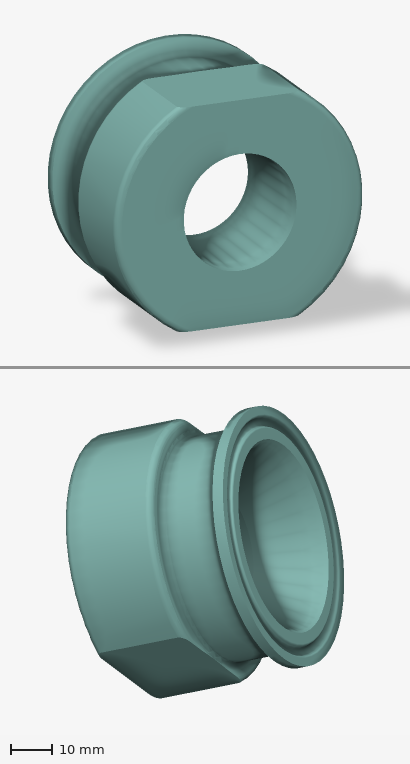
import cadquery as cq
import math

total_length = 42.85
flange_diameter = 63.95
flange_rim_width = 2.8
flange_back_angle = 20.0
flange_root_radius = 1.8

neck_diameter = 55.7

body_diameter = 65.5
body_start = 19.0
body_edge_radius = 1.65
neck_end_fillet = 1.5
across_flats = 57.1

cone_mouth_diameter = 47.55
throat_diameter = 28.1
cone_depth = 15.4
throat_length = 2.35
pipe_taper = 1 / 16

gasket_groove_diameter = 56.35
gasket_groove_depth = 1.7
gasket_groove_floor_radius = 1.05
gasket_groove_lip_radius = 0.49
gasket_groove_flank_angle = 20.0


def revolve_about_x(profile):
    return profile.close().revolve(360, (0, 0, 0), (1, 0, 0))


def point_on_circle(center, radius, angle):
    """Point on a circle around center, at an angle in degrees from +X."""
    turn = math.radians(angle)
    return (center[0] + radius * math.cos(turn), center[1] + radius * math.sin(turn))


def outer_shape():
    flange_r = flange_diameter / 2
    neck_r = neck_diameter / 2
    body_r = body_diameter / 2

    slope = math.radians(flange_back_angle)
    root_corner_x = flange_rim_width + (flange_r - neck_r) * math.tan(slope)
    root_tangent = flange_root_radius * math.tan((math.pi / 2 - slope) / 2)
    root_center = (root_corner_x + root_tangent, neck_r + flange_root_radius)
    root_start_angle = 180 + flange_back_angle
    root_start = point_on_circle(root_center, flange_root_radius, root_start_angle)
    root_middle = point_on_circle(root_center, flange_root_radius, (root_start_angle + 270) / 2)

    step_center = (body_start - neck_end_fillet, neck_r + neck_end_fillet)
    front_center = (body_start + body_edge_radius, body_r - body_edge_radius)
    back_center = (total_length - body_edge_radius, body_r - body_edge_radius)

    profile = (
        cq.Workplane("XY")
        .moveTo(0, 0)
        .lineTo(0, flange_r)
        .lineTo(flange_rim_width, flange_r)
        .lineTo(*root_start)
        .threePointArc(root_middle, (root_center[0], neck_r))
        .lineTo(step_center[0], neck_r)
        .threePointArc(point_on_circle(step_center, neck_end_fillet, 315), (body_start, step_center[1]))
        .lineTo(body_start, front_center[1])
        .threePointArc(point_on_circle(front_center, body_edge_radius, 135), (front_center[0], body_r))
        .lineTo(back_center[0], body_r)
        .threePointArc(point_on_circle(back_center, body_edge_radius, 45), (total_length, back_center[1]))
        .lineTo(total_length, 0)
    )
    return revolve_about_x(profile)


def wrench_flats():
    """Blocks that leave one flat on the top and one on the bottom of the body."""
    flat_start = body_start - neck_end_fillet
    block = cq.Workplane("XY").box(
        total_length - flat_start, body_diameter, body_diameter, centered=(False, True, False)
    )
    upper = block.translate((flat_start, 0, across_flats / 2))
    lower = block.translate((flat_start, 0, -across_flats / 2 - body_diameter))
    return upper.add(lower).combine()


def bore():
    throat_end = cone_depth + throat_length
    taper_end_diameter = throat_diameter + pipe_taper * (total_length - throat_end)
    profile = (
        cq.Workplane("XY")
        .moveTo(0, 0)
        .lineTo(0, cone_mouth_diameter / 2)
        .lineTo(cone_depth, throat_diameter / 2)
        .lineTo(throat_end, throat_diameter / 2)
        .lineTo(total_length, taper_end_diameter / 2)
        .lineTo(total_length, 0)
    )
    return revolve_about_x(profile)


def gasket_groove():
    """Ring groove with a round floor, leaning flanks and rounded lips."""
    center_r = gasket_groove_diameter / 2
    floor_r = gasket_groove_floor_radius
    lip_r = gasket_groove_lip_radius
    flank = gasket_groove_flank_angle

    flank_bottom = point_on_circle((gasket_groove_depth - floor_r, 0), floor_r, 90 - flank)
    flank_top_depth = lip_r * (1 - math.sin(math.radians(flank)))
    flank_spread = (flank_bottom[0] - flank_top_depth) * math.tan(math.radians(flank))
    flank_top = (flank_top_depth, flank_bottom[1] + flank_spread)
    lip_center = (lip_r, flank_top[1] + lip_r * math.cos(math.radians(flank)))
    lip_middle = point_on_circle(lip_center, lip_r, 225 - flank / 2)
    lip_edge = (0, lip_center[1])

    def inner(point):
        return (point[0], center_r - point[1])

    def outer(point):
        return (point[0], center_r + point[1])

    profile = (
        cq.Workplane("XY")
        .moveTo(*inner(lip_edge))
        .threePointArc(inner(lip_middle), inner(flank_top))
        .lineTo(*inner(flank_bottom))
        .threePointArc((gasket_groove_depth, center_r), outer(flank_bottom))
        .lineTo(*outer(flank_top))
        .threePointArc(outer(lip_middle), outer(lip_edge))
    )
    return revolve_about_x(profile)


result = outer_shape().cut(wrench_flats()).cut(bore()).cut(gasket_groove())